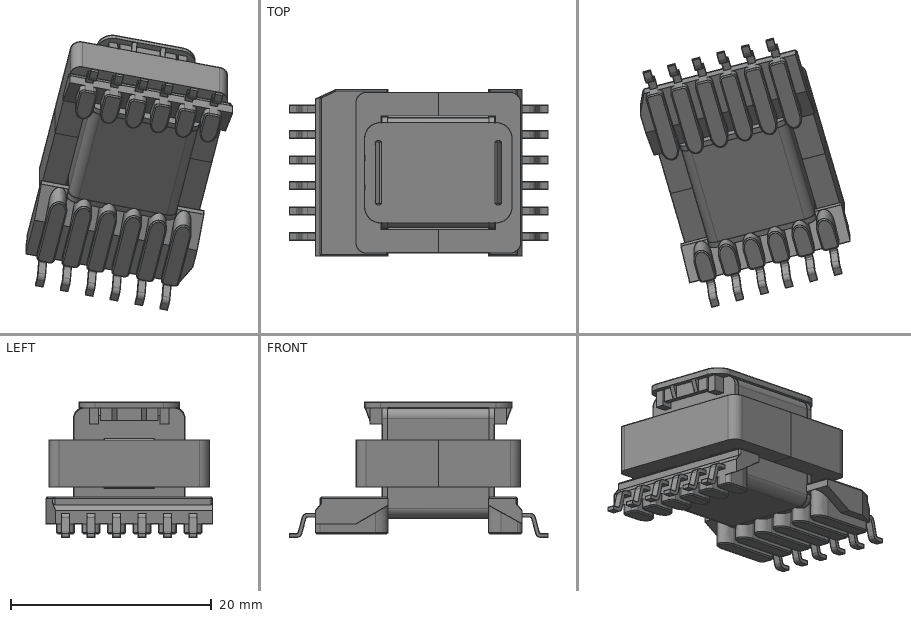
import cadquery as cq

core_z = 7.375

core_length = 16.4
core_width = 16.0
core_height = 4.7
core_corner_radius = 1.0
window_length = 11.44
window_width = 11.28
centre_leg_width = 4.7
core_clearance = 0.12

flange_size = 11.1
flange_corner_radius = 1.05
flange_outer_x = 5.6
flange_inner_x = 5.05
winding_size = 11.0
winding_corner_radius = 1.0

base_middle_x = -1.95
base_reach = 10.3
base_step = 0.48
base_width = 16.6
base_bottom_z = 1.36
base_top_z = 4.05
step_top_z = 3.24
step_bottom_z = 2.7
base_inner_x = 5.02
base_inner_bottom_z = 3.2
left_flat_end_x = -8.19
base_edge_chamfer = 0.15
index_chamfer_x = 2.05
index_chamfer_y = 0.95

foot_width = 1.76
foot_bottom_z = 0.36
foot_body_top_z = 2.5
foot_inner_x = 5.0
foot_inner_length = 1.25
foot_corner_radius = 0.45
foot_edge_chamfer = 0.14

pin_count = 6
pin_pitch = 2.54
pin_width = 0.76
pin_thickness = 0.38
pin_span = 25.81
pin_level_z = 2.22
pin_bend_radius = 0.38
pin_upper_bend = 1.54
pin_lower_bend = 1.0
pin_embed = 0.5

cap_top_z = 13.5
cap_length = 14.7
cap_width = 10.0
cap_corner_radius = 1.6
cap_slot_length = 6.44
cap_slot_width = 0.62
cap_slot_x = 5.97
clip_outer_x = 6.82
clip_arm_width = 5.76
clip_arm_bottom_z = 11.64
cap_leg_inner_y = 3.08
cap_leg_outer_y = 3.98
cap_leg_bottom_z = 11.3
gusset_width = 0.5
gusset_y = 1.46
gusset_outer_x = 7.3

latch_top_x = 5.87
latch_bottom_z = 12.14

flange_top_z = core_z + flange_size / 2
clip_inner_x = cap_slot_x + cap_slot_width / 2
pin_rows_y = [(i - (pin_count - 1) / 2) * pin_pitch for i in range(pin_count)]


def span_box(x0, x1, y0, y1, z0, z1):
    """Box between two opposite corners."""
    return cq.Workplane("XY").box(x1 - x0, y1 - y0, z1 - z0, centered=False).translate((x0, y0, z0))


def side_plate(points, y0, y1):
    """Outline in X and Z, thickened from y0 to y1."""
    return cq.Workplane("XZ", origin=(0, y1, 0)).polyline(points).close().extrude(y1 - y0)


def rounded_tube_block(size, radius, x0, x1):
    """Square block around the coil axis with its four long edges rounded."""
    block = span_box(x0, x1, -size / 2, size / 2, core_z - size / 2, core_z + size / 2)
    return block.edges("|X").fillet(radius)


def make_core_half(side):
    """One E half: side is -1 for the -X half and 1 for the +X half."""
    ring = cq.Workplane("XY").box(core_length, core_width, core_height)
    ring = ring.edges("|Z").fillet(core_corner_radius)
    ring = ring.cut(cq.Workplane("XY").box(window_length, window_width, core_height))
    leg = cq.Workplane("XY").box(window_length, centre_leg_width, core_height)
    half_space = cq.Workplane("XY").box(core_length / 2, core_width, core_height)
    half_space = half_space.translate((side * core_length / 4, 0, 0))
    return ring.union(leg).intersect(half_space).translate((0, 0, core_z))


def make_base(side):
    """Terminal base with a stepped outer face, a sloped underside and chamfered upper edges."""
    outer_x = base_middle_x + side * base_reach
    top_x = outer_x - side * base_step
    inner_x = side * base_inner_x
    outline = [
        (inner_x, base_top_z),
        (top_x, base_top_z),
        (top_x, step_top_z),
        (outer_x, step_bottom_z),
        (outer_x, base_bottom_z),
    ]
    if side < 0:
        outline.append((left_flat_end_x, base_bottom_z))
    outline.append((inner_x, base_inner_bottom_z))
    base = side_plate(outline, -base_width / 2, base_width / 2)
    if side < 0:
        base = base.cut(make_index_corner(outer_x))
    step_x = sorted((top_x - side * base_edge_chamfer, top_x + side * base_edge_chamfer))
    step_zone = cq.selectors.BoxSelector(
        (step_x[0], -base_width, step_top_z),
        (step_x[1], base_width, base_top_z),
    )
    step_corners = base.edges("|Z").edges(step_zone).vals()
    return base.faces(">Z").edges().add(step_corners).chamfer(base_edge_chamfer)


def make_index_corner(outer_x):
    """Prism that cuts the slanted index corner off the -X, +Y end."""
    corner_y = base_width / 2
    points = [
        (outer_x, corner_y),
        (outer_x + index_chamfer_x, corner_y),
        (outer_x, corner_y - index_chamfer_y),
    ]
    return cq.Workplane("XY").polyline(points).close().extrude(base_top_z)


def make_foot(side, y):
    """Standoff with rounded outer corners and an elliptical inner end."""
    outer_x = base_middle_x + side * base_reach
    ellipse_x = side * (foot_inner_x + foot_inner_length)
    half_width = foot_width / 2
    body_height = foot_body_top_z - foot_bottom_z
    end_height = base_inner_bottom_z - foot_bottom_z
    x0, x1 = sorted((outer_x, ellipse_x))
    body = span_box(x0, x1, -half_width, half_width, 0, body_height)
    outer_face = "<X" if side < 0 else ">X"
    body = body.faces(outer_face).edges("|Z").fillet(foot_corner_radius)
    end = cq.Workplane("XY").center(ellipse_x, 0).ellipse(foot_inner_length, half_width)
    end = end.extrude(end_height)
    foot = body.union(end).faces("<Z").chamfer(foot_edge_chamfer)
    return foot.translate((0, y, foot_bottom_z))


def make_pin(side, y):
    """Gull-wing pin: flat strip bent twice between the base and the board."""
    end_x = base_middle_x + side * pin_span / 2
    foot_z = pin_thickness / 2
    corners = [
        (end_x, y, foot_z),
        (end_x - side * pin_lower_bend, y, foot_z),
        (end_x - side * pin_upper_bend, y, pin_level_z),
        (base_middle_x + side * (base_reach - pin_embed), y, pin_level_z),
    ]
    points = [cq.Vector(*corner) for corner in corners]
    path = cq.Wire.makePolygon(points)
    inner_bends = [v for v in path.Vertices() if v.toTuple() in (corners[1], corners[2])]
    path = path.fillet2D(pin_bend_radius, inner_bends)
    section = cq.Workplane("YZ", origin=corners[0]).rect(pin_width, pin_thickness)
    return section.sweep(cq.Workplane(path))


def make_flange(side):
    """Square end plate of the coil former."""
    x0, x1 = sorted((side * flange_inner_x, side * flange_outer_x))
    return rounded_tube_block(flange_size, flange_corner_radius, x0, x1)


def make_latch(side):
    """Wedge on a flange: ramped top, flat underside that holds the cap clip."""
    outline = [
        (side * flange_outer_x, flange_top_z),
        (side * latch_top_x, flange_top_z),
        (side * clip_inner_x, latch_bottom_z),
        (side * flange_outer_x, latch_bottom_z),
    ]
    return side_plate(outline, -cap_leg_inner_y, cap_leg_inner_y)


def make_bobbin():
    """Coil former with its filled winding space, bases, feet, latches and pins."""
    bobbin = rounded_tube_block(winding_size, winding_corner_radius, -flange_inner_x, flange_inner_x)
    for side in (-1, 1):
        bobbin = bobbin.union(make_flange(side)).union(make_latch(side)).union(make_base(side))
        for y in pin_rows_y:
            bobbin = bobbin.union(make_foot(side, y)).union(make_pin(side, y))
    tunnel = centre_leg_width + 2 * core_clearance
    return bobbin.cut(cq.Workplane("XY").box(core_length, tunnel, tunnel).translate((0, 0, core_z)))


def make_clip(side):
    """Snap arm with two gussets and a guide leg on each side of it, hanging from one end of the cap."""
    arm_x = sorted((side * clip_inner_x, side * clip_outer_x))
    leg_x = sorted((side * flange_outer_x, side * clip_outer_x))
    clip = span_box(*arm_x, -clip_arm_width / 2, clip_arm_width / 2, clip_arm_bottom_z, cap_top_z)
    gusset_outline = [
        (side * clip_inner_x, flange_top_z),
        (side * gusset_outer_x, flange_top_z),
        (side * clip_outer_x, clip_arm_bottom_z),
        (side * clip_inner_x, clip_arm_bottom_z),
    ]
    for row in (-1, 1):
        leg_y = sorted((row * cap_leg_inner_y, row * cap_leg_outer_y))
        clip = clip.union(span_box(*leg_x, *leg_y, cap_leg_bottom_z, cap_top_z))
        middle_y = row * gusset_y
        gusset = side_plate(gusset_outline, middle_y - gusset_width / 2, middle_y + gusset_width / 2)
        clip = clip.union(gusset)
    return clip


def make_cap():
    """Flat pick-up plate with a slot above each latch and a clip at each end."""
    thickness = cap_top_z - flange_top_z
    plate = cq.Workplane("XY", origin=(0, 0, flange_top_z)).rect(cap_length, cap_width).extrude(thickness)
    cap = plate.edges("|Z").fillet(cap_corner_radius)
    for side in (-1, 1):
        cap = cap.union(make_clip(side))
    slots = cq.Workplane("XY", origin=(0, 0, flange_top_z)).pushPoints([(-cap_slot_x, 0), (cap_slot_x, 0)])
    return cap.cut(slots.slot2D(cap_slot_length, cap_slot_width, 90).extrude(thickness))


core_halves = [make_core_half(side) for side in (-1, 1)]
bobbin = make_bobbin()
cap = make_cap()

result = cq.Compound.makeCompound([*(half.val() for half in core_halves), bobbin.val(), cap.val()])